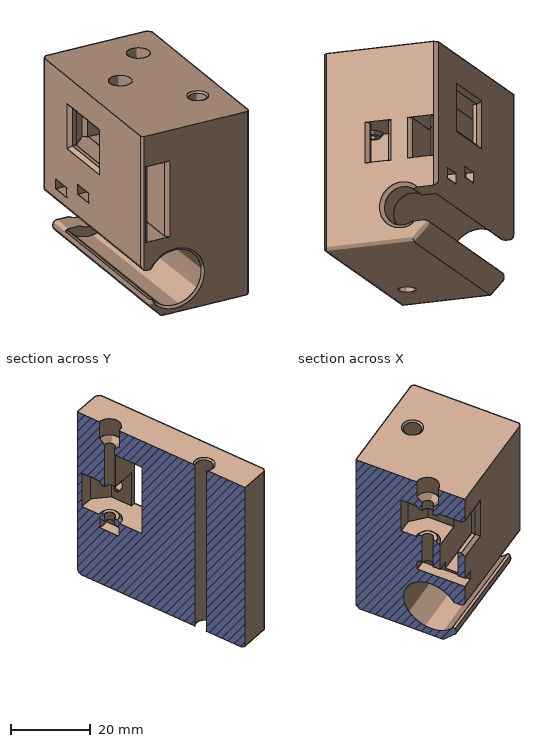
import cadquery as cq
import math

LENGTH = 52.0
DEPTH = 30.9
HEIGHT = 52.0
LEFT_CHAMFER = 1.0
RIGHT_CHAMFER = 0.6

ROD_Y = 9.6
ROD_Z = 10.15
COLLAR_RADIUS = 5.0
COLLAR_LENGTH = 7.05
BORE_RADIUS = 7.7
MOUTH_TOP = 14.3
MOUTH_BOTTOM = 5.95
BORE_LIP_TOP = 5.4
COLLAR_EDGE_RADIUS = 0.5
EDGE_RADIUS = 1.5
LIP_TIP_Y = 2.4
SELECTION_MARGIN = 0.05

LOWER_FLOOR = 22.2
LEVEL_HEIGHT = 10.6
RUN_OFFSET = 6.1
RUN_WIDTH = 5.0
POCKET_REACH = 7.45
LOWER_POCKET_END = 1.45
POCKET_CHAMFER = 3.75
FLARE = 1.0
REAR_RUN_INNER = 1.45
REAR_RUN_OUTER = 10.05

LOWER_PULLEY = (9.95, 22.1)
PULLEY_SPACING = 11.5
BOLT_DIAMETER = 3.0
HEAD_DIAMETER = 6.0
HEAD_DEPTH = 5.2
BOSS_BASE_DIAMETER = 6.5
BOSS_TIP_DIAMETER = 5.0
BOSS_HEIGHT = 0.95
NUT_WIDTH = 5.7
NUT_HEIGHT = 2.7
LOWER_NUT_FLOOR = 18.0
UPPER_NUT_FLOOR = 21.5

POST_HOLE = (38.15, 23.6)
POST_HOLE_DIAMETER = 4.6
POST_HOLE_CHAMFER = 0.45

UPPER_PULLEY = (LOWER_PULLEY[0] + PULLEY_SPACING, LOWER_PULLEY[1] - PULLEY_SPACING)
UPPER_FLOOR = LOWER_FLOOR + LEVEL_HEIGHT
UPPER_POCKET_END = UPPER_PULLEY[0] + POCKET_REACH
UPPER_ROOF = UPPER_FLOOR + LEVEL_HEIGHT
HEAD_FLOOR = HEIGHT - HEAD_DEPTH


def box(x0, x1, y0, y1, z0, z1):
    """Axis-aligned block between two corners."""
    return cq.Workplane("XY").box(x1 - x0, y1 - y0, z1 - z0, centered=False).translate((x0, y0, z0))


def rod_cylinder(radius, x0, x1):
    """Cylinder on the rod axis between two x positions."""
    return cq.Workplane("YZ", origin=(x0, 0, 0)).center(ROD_Y, ROD_Z).circle(radius).extrude(x1 - x0)


def rod_cone(x0, radius0, x1, radius1):
    """Cone on the rod axis between two x positions."""
    axis = cq.Vector(1, 0, 0)
    start = cq.Vector(x0, ROD_Y, ROD_Z)
    return cq.Workplane(cq.Solid.makeCone(radius0, radius1, x1 - x0, start, axis))


def upright_cone(center, z0, diameter0, z1, diameter1):
    """Cone on a vertical axis from z0 up to z1."""
    start = cq.Vector(center[0], center[1], z0)
    return cq.Workplane(cq.Solid.makeCone(diameter0 / 2, diameter1 / 2, z1 - z0, start))


def upright_cylinder(center, diameter, z0, z1):
    """Cylinder on a vertical axis from z0 up to z1."""
    return cq.Workplane("XY", origin=(*center, z0)).circle(diameter / 2).extrude(z1 - z0)


def make_body():
    """Block with the clip mouth and its rounded lip, before any bore is cut."""
    tip_y = LIP_TIP_Y + EDGE_RADIUS
    tip_z = MOUTH_BOTTOM - EDGE_RADIUS
    nose_offset = EDGE_RADIUS * math.sqrt(0.5)
    slope_y = tip_y - nose_offset
    slope_z = tip_z - nose_offset
    block = (
        cq.Workplane("YZ")
        .moveTo(0, HEIGHT)
        .lineTo(0, MOUTH_TOP + EDGE_RADIUS)
        .radiusArc((EDGE_RADIUS, MOUTH_TOP), -EDGE_RADIUS)
        .lineTo(ROD_Y, MOUTH_TOP)
        .lineTo(ROD_Y, MOUTH_BOTTOM)
        .lineTo(tip_y, MOUTH_BOTTOM)
        .radiusArc((slope_y, slope_z), -EDGE_RADIUS)
        .lineTo(slope_y + slope_z, 0)
        .lineTo(DEPTH, 0)
        .lineTo(DEPTH, HEIGHT)
        .close()
        .extrude(LENGTH)
    )
    for x in (0, LENGTH):
        low_corner = (x - SELECTION_MARGIN, 0, -SELECTION_MARGIN)
        high_corner = (x + SELECTION_MARGIN, DEPTH, MOUTH_BOTTOM + SELECTION_MARGIN)
        end_edges = cq.selectors.BoxSelector(low_corner, high_corner)
        block = block.edges(end_edges).fillet(EDGE_RADIUS)
    return block


def corner_cutter(x, y, size):
    """Upright diamond prism that bevels one corner of the block."""
    diamond = [(x - size, y), (x, y - size), (x + size, y), (x, y + size)]
    return cq.Workplane("XY").polyline(diamond).close().extrude(HEIGHT)


def chamfer_outside(block):
    """Bevel the upright corners and the rear bottom edge."""
    for y in (0, DEPTH):
        block = block.cut(corner_cutter(0, y, LEFT_CHAMFER))
        block = block.cut(corner_cutter(LENGTH, y, RIGHT_CHAMFER))
    rear_base = (
        cq.Workplane("YZ")
        .polyline([(DEPTH, 0), (DEPTH - LEFT_CHAMFER, 0), (DEPTH, LEFT_CHAMFER)])
        .close()
        .extrude(LENGTH)
    )
    return block.cut(rear_base)


def collar_edge_rounding():
    """Cutter that rounds the edge between the collar bore and the top of the lip."""
    reach = COLLAR_RADIUS + COLLAR_EDGE_RADIUS
    arc_z = MOUTH_BOTTOM - COLLAR_EDGE_RADIUS
    drop = ROD_Z - arc_z
    setback = math.sqrt(reach**2 - drop**2)
    share = COLLAR_RADIUS / reach
    bore_point = (ROD_Y - share * setback, ROD_Z - share * drop)
    return (
        cq.Workplane("YZ")
        .moveTo(ROD_Y, ROD_Z)
        .lineTo(ROD_Y - setback, MOUTH_BOTTOM)
        .radiusArc(bore_point, COLLAR_EDGE_RADIUS)
        .close()
        .extrude(LENGTH)
    )


def cut_rod_clip(block):
    """Narrow collar at the left, wider bearing seat in the rest of the length."""
    block = block.cut(rod_cylinder(COLLAR_RADIUS, 0, LENGTH))
    block = block.cut(collar_edge_rounding())
    seat_lip = box(COLLAR_LENGTH, LENGTH, 0, ROD_Y, BORE_LIP_TOP, MOUTH_BOTTOM)
    block = block.cut(rod_cylinder(BORE_RADIUS, COLLAR_LENGTH, LENGTH)).cut(seat_lip)
    left = rod_cone(0, COLLAR_RADIUS + FLARE, FLARE, COLLAR_RADIUS)
    right = rod_cone(LENGTH - RIGHT_CHAMFER, BORE_RADIUS, LENGTH, BORE_RADIUS + RIGHT_CHAMFER)
    return block.cut(left).cut(right)


def run_mouth(x, side, y_center, floor):
    """Flared mouth of a belt run at the end face; side is +1 when the run goes toward +X."""
    inner = RUN_WIDTH / 2
    outer = inner + FLARE
    return (
        cq.Workplane("XY", origin=(x, y_center, floor))
        .polyline([(0, -outer), (side * FLARE, -inner), (side * FLARE, inner), (0, outer)])
        .close()
        .extrude(LEVEL_HEIGHT)
    )


def pulley_chamber(pulley, side, floor, near_x):
    """Pulley pocket with a belt run to one end face and another to the rear.

    side is -1 when the end run leaves at x = 0 and +1 when it leaves at x = LENGTH.
    near_x is the pocket wall on that side.
    """
    px, py = pulley
    end_x = (1 + side) / 2 * LENGTH
    corner_x = px - side * (REAR_RUN_OUTER + FLARE)
    run_y = py - RUN_OFFSET
    outer_y = run_y - RUN_WIDTH / 2
    inner_y = run_y + RUN_WIDTH / 2
    rear_y = py + POCKET_REACH
    outline = [
        (end_x, outer_y),
        (corner_x + side * POCKET_CHAMFER, outer_y),
        (corner_x, outer_y + POCKET_CHAMFER),
        (corner_x + side * FLARE, outer_y + POCKET_CHAMFER + FLARE),
        (px - side * REAR_RUN_OUTER, DEPTH),
        (px - side * REAR_RUN_INNER, DEPTH),
        (px - side * REAR_RUN_INNER, rear_y),
        (near_x - side * POCKET_CHAMFER, rear_y),
        (near_x, rear_y - POCKET_CHAMFER),
        (near_x, inner_y),
        (end_x, inner_y),
    ]
    chamber = cq.Workplane("XY", origin=(0, 0, floor)).polyline(outline).close().extrude(LEVEL_HEIGHT)
    chamber = chamber.union(run_mouth(end_x, -side, run_y, floor))
    roof = floor + LEVEL_HEIGHT
    tip_floor = floor + BOSS_HEIGHT
    tip_roof = roof - BOSS_HEIGHT
    lower_boss = upright_cone(pulley, floor, BOSS_BASE_DIAMETER, tip_floor, BOSS_TIP_DIAMETER)
    upper_boss = upright_cone(pulley, tip_roof, BOSS_TIP_DIAMETER, roof, BOSS_BASE_DIAMETER)
    return chamber.cut(lower_boss).cut(upper_boss)


def straight_run():
    """Lower belt run through the whole length in front of the upper pulley."""
    run_y = UPPER_PULLEY[1] - RUN_OFFSET
    half = RUN_WIDTH / 2
    run = box(0, LENGTH, run_y - half, run_y + half, LOWER_FLOOR, UPPER_FLOOR)
    for x, side in ((0, 1), (LENGTH, -1)):
        run = run.union(run_mouth(x, side, run_y, LOWER_FLOOR))
    return run


def front_window():
    """Flared access window in front of the upper pulley."""
    px = UPPER_PULLEY[0]
    width = 2 * POCKET_REACH
    opening = box(px - width / 2, px + width / 2, 0, UPPER_PULLEY[1] - RUN_OFFSET, UPPER_FLOOR, UPPER_ROOF)
    flare = (
        cq.Workplane("XZ", origin=(px, 0, UPPER_FLOOR + LEVEL_HEIGHT / 2))
        .rect(width + 2 * FLARE, LEVEL_HEIGHT + 2 * FLARE)
        .workplane(offset=-FLARE)
        .rect(width, LEVEL_HEIGHT)
        .loft(ruled=True)
    )
    return opening.union(flare)


def bolt_hole(pulley, nut_floor):
    """Sunk bolt head on top, bolt shank and a nut slot open to the front."""
    cone_height = (HEAD_DIAMETER - BOLT_DIAMETER) / 2
    head = upright_cylinder(pulley, HEAD_DIAMETER, HEAD_FLOOR, HEIGHT)
    cone = upright_cone(pulley, HEAD_FLOOR - cone_height, BOLT_DIAMETER, HEAD_FLOOR, HEAD_DIAMETER)
    shank = upright_cylinder(pulley, BOLT_DIAMETER, nut_floor, HEAD_FLOOR)
    half = NUT_WIDTH / 2
    px, py = pulley
    slot = box(px - half, px + half, 0, py + half, nut_floor, nut_floor + NUT_HEIGHT)
    return head.union(cone).union(shank).union(slot)


def post_hole():
    """Through hole with a small bevel at the top."""
    rim = POST_HOLE_DIAMETER + 2 * POST_HOLE_CHAMFER
    hole = upright_cylinder(POST_HOLE, POST_HOLE_DIAMETER, 0, HEIGHT)
    bevel = upright_cone(POST_HOLE, HEIGHT - POST_HOLE_CHAMFER, POST_HOLE_DIAMETER, HEIGHT, rim)
    return hole.union(bevel)


result = cut_rod_clip(chamfer_outside(make_body()))
result = result.cut(pulley_chamber(LOWER_PULLEY, -1, LOWER_FLOOR, LOWER_POCKET_END))
result = result.cut(pulley_chamber(UPPER_PULLEY, 1, UPPER_FLOOR, UPPER_POCKET_END))
result = result.cut(straight_run()).cut(front_window())
result = result.cut(bolt_hole(LOWER_PULLEY, LOWER_NUT_FLOOR))
result = result.cut(bolt_hole(UPPER_PULLEY, UPPER_NUT_FLOOR))
result = result.cut(post_hole())